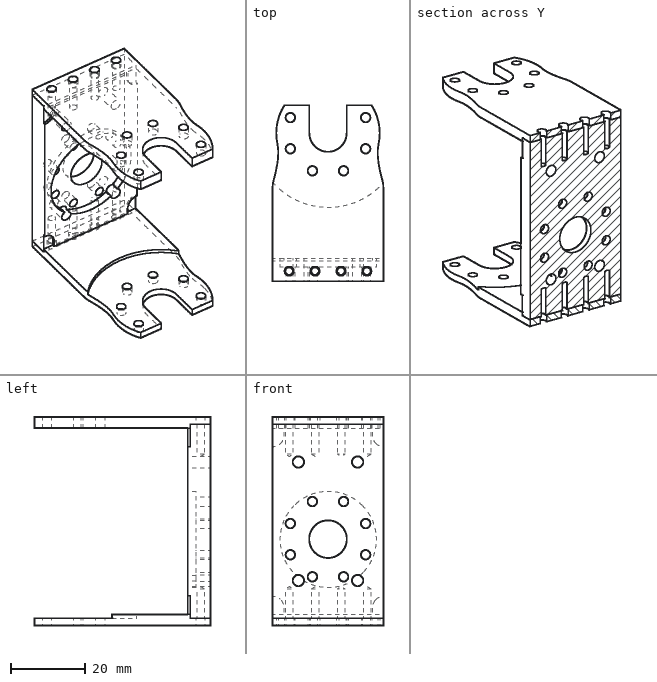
import cadquery as cq
import math

width = 30.0
length = 47.55
height = 56.34
half_width = width / 2

plate_thickness = 3.0
lap_depth = 1.0
lap_thickness = plate_thickness - lap_depth
neck_start_y = 25.0
neck_joint = (14.26, 29.0)
tip_start_y = 37.0
horn_center_y = 40.0
tip_radius = 14.0
slot_radius = 5.0
recess_radius = 20.0
recess_depth = 1.0

panel_thickness = 5.5
pad_thickness = 0.7
panel_height = height - 2 * lap_thickness
corner_relief = 6.0
corner_relief_radius = 3.0
bore_diameter = 10.1
bore_z = 23.34
web_thickness = 4.0
pocket_radius = 13.0
mount_diameter = 3.0
mount_spacing_x = 16.0
mount_spacing_z = 32.0

ring_radius = 11.0
ring_count = 8
ring_hole_diameter = 2.5

screw_count = 4
screw_pitch = 7.0
screw_y = panel_thickness / 2
clearance_diameter = 2.5
tap_diameter = 2.01
tap_depth = 8.0
drill_point_angle = 118.0


def ring_points(center_y):
    """Ring hole centres, straddling the axes of the ring."""
    step = 2 * math.pi / ring_count
    angles = [(i + 0.5) * step for i in range(ring_count)]
    return [(ring_radius * math.cos(a), center_y + ring_radius * math.sin(a)) for a in angles]


def screw_points():
    first_x = -screw_pitch * (screw_count - 1) / 2
    return [(first_x + i * screw_pitch, screw_y) for i in range(screw_count)]


def point_on_circle(center, radius, angle):
    return (center[0] + radius * math.cos(angle), center[1] + radius * math.sin(angle))


def mirrored(point):
    return (-point[0], point[1])


def plate_outline():
    """Parallel sides, then an S-curved neck, then a round tip cut off square."""
    tip_center = (0, horn_center_y)
    tip_end = (math.sqrt(tip_radius**2 - (length - horn_center_y)**2), length)
    tip_start_angle = math.asin((tip_start_y - horn_center_y) / tip_radius)
    tip_start = point_on_circle(tip_center, tip_radius, tip_start_angle)
    tip_middle = (tip_radius, horn_center_y)

    neck_points = [(half_width, neck_start_y), neck_joint, tip_start]
    side_direction = (0, 1)
    tip_direction = (-math.sin(tip_start_angle), math.cos(tip_start_angle))

    far_neck_points = [mirrored(p) for p in reversed(neck_points)]
    far_tip_direction = (tip_direction[0], -tip_direction[1])
    far_side_direction = (0, -1)

    return (
        cq.Workplane("XY")
        .moveTo(-half_width, 0)
        .lineTo(half_width, 0)
        .lineTo(half_width, neck_start_y)
        .spline(neck_points[1:], tangents=[side_direction, tip_direction], includeCurrent=True)
        .threePointArc(tip_middle, tip_end)
        .lineTo(*mirrored(tip_end))
        .threePointArc(mirrored(tip_middle), mirrored(tip_start))
        .spline(far_neck_points[1:], tangents=[far_tip_direction, far_side_direction], includeCurrent=True)
        .close()
    )


def make_plate():
    """Side plate with its outer face on Z = 0 and its inner face up."""
    plate = plate_outline().extrude(plate_thickness)

    rebate = cq.Workplane("XY").box(width, panel_thickness, lap_depth, centered=(True, False, False))
    plate = plate.cut(rebate.translate((0, 0, lap_thickness)))

    slot_end = cq.Workplane("XY").center(0, horn_center_y).circle(slot_radius).extrude(plate_thickness)
    slot_length = length - horn_center_y
    slot = cq.Workplane("XY").box(2 * slot_radius, slot_length, plate_thickness, centered=(True, False, False))
    plate = plate.cut(slot_end).cut(slot.translate((0, horn_center_y, 0)))

    ring = [p for p in ring_points(horn_center_y) if abs(p[0]) > slot_radius or p[1] < horn_center_y]
    ring_holes = cq.Workplane("XY").pushPoints(ring).circle(ring_hole_diameter / 2).extrude(plate_thickness)
    screw_holes = (
        cq.Workplane("XY").pushPoints(screw_points()).circle(clearance_diameter / 2).extrude(plate_thickness)
    )
    return plate.cut(ring_holes).cut(screw_holes)


def make_lower_plate():
    recess = (
        cq.Workplane("XY", origin=(0, horn_center_y, plate_thickness - recess_depth))
        .circle(recess_radius)
        .extrude(recess_depth)
    )
    return make_plate().cut(recess)


def make_upper_plate():
    return make_plate().mirror("XY").translate((0, 0, height))


def tapped_hole():
    """Blind screw hole rising from Z = 0, ending in a drill point."""
    radius = tap_diameter / 2
    point_height = radius / math.tan(math.radians(drill_point_angle / 2))
    return (
        cq.Workplane("XZ")
        .polyline([(0, 0), (radius, 0), (radius, tap_depth), (0, tap_depth + point_height)])
        .close()
        .revolve(360, (0, 0, 0), (0, 1, 0))
    )


def make_pad():
    """Raised pad between the plates, with a round-cornered cutout at each corner."""
    pad_height = height - 2 * plate_thickness
    pad = cq.Workplane("XY").box(width, pad_thickness, pad_height)

    cutout = (
        cq.Workplane("XZ")
        .slot2D(2 * corner_relief, 2 * corner_relief_radius, 90)
        .extrude(pad_thickness / 2, both=True)
    )
    for x in (-half_width, half_width):
        for z in (-panel_height / 2, panel_height / 2):
            pad = pad.cut(cutout.translate((x, 0, z)))
    return pad.translate((0, panel_thickness + pad_thickness / 2, height / 2))


def panel_holes(points, diameter):
    through = panel_thickness + pad_thickness
    return cq.Workplane("XZ").pushPoints(points).circle(diameter / 2).extrude(-through)


def make_pocket():
    """Round pocket about the bore, open to the inner side of the panel."""
    pocket_depth = panel_thickness + pad_thickness - web_thickness
    pocket = cq.Workplane("XZ", origin=(0, web_thickness, bore_z))
    return pocket.circle(pocket_radius).extrude(-pocket_depth)


def make_panel():
    panel = cq.Workplane("XY").box(width, panel_thickness, panel_height)
    panel = panel.translate((0, panel_thickness / 2, height / 2)).union(make_pad())
    panel = panel.cut(make_pocket())

    panel = panel.cut(panel_holes([(0, bore_z)], bore_diameter))
    panel = panel.cut(panel_holes(ring_points(bore_z), ring_hole_diameter))
    mount_points = [
        (x, height / 2 + z)
        for x in (-mount_spacing_x / 2, mount_spacing_x / 2)
        for z in (-mount_spacing_z / 2, mount_spacing_z / 2)
    ]
    panel = panel.cut(panel_holes(mount_points, mount_diameter))

    for x, y in screw_points():
        lower_hole = tapped_hole().translate((x, y, lap_thickness))
        upper_hole = tapped_hole().mirror("XY").translate((x, y, height - lap_thickness))
        panel = panel.cut(lower_hole).cut(upper_hole)
    return panel


panel = make_panel()
lower_plate = make_lower_plate()
upper_plate = make_upper_plate()

result = cq.Compound.makeCompound([panel.val(), lower_plate.val(), upper_plate.val()])